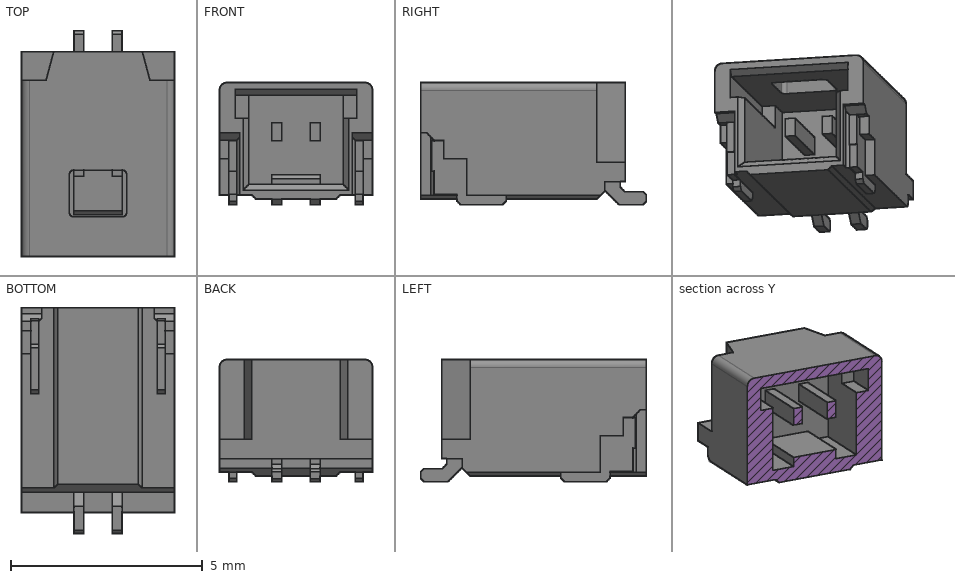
import cadquery as cq


total_length = 5.9
width = 4.0
height = 3.2
length = 5.35
top_radius = 0.2
underside_z = 0.255
plinth_z = 0.155
plinth_width = 2.1

rear_notch_length = 0.75
rear_notch_floor_z = 1.11
rear_notch_width_outer = 0.845
rear_notch_width_inner = 0.645
rear_step_length = 0.535
rear_step_z = 0.61
rear_chamfer_top_z = 0.36

cavity_width = 2.46
cavity_depth = 4.19
cavity_floor_z = 0.535
cavity_roof_z = 2.86
guide_width = 3.175
guide_depth = 3.42
guide_floor_z = 2.265
lead_in = 0.155
key_width = 1.27
key_front_y = 1.09
key_top_z = 0.79
key_chamfer = 0.105

window_width = 1.5
window_front_y = 1.04
window_length = 1.22
window_radius = 0.12

clip_inner_x = 1.545
clip_thickness = 0.205
clip_tip_y = 0.295
clip_relief_y = 0.35
clip_relief_z = 0.88
clip_bottom_z = 0.28
clip_gap = 0.02
foot_front_y = 0.95
foot_rear_y = 2.24
foot_chamfer = 0.1

corner_inner_x = 1.465
corner_top_z = 1.89
corner_depth = 0.355
corner_roof_chamfer = 0.2
corner_side_chamfer = clip_inner_x - corner_inner_x
pocket_top_z = corner_top_z - corner_roof_chamfer
pocket_step_z = 1.21
pocket_upper_y = 0.61
pocket_lower_y = 1.21

pin_pitch = 1.0
pin_width = 0.265
pin_bottom_z = 1.675
pin_top_z = 2.15
pin_tip_y = 2.1
tail_thickness = 0.35
tail_chamfer = 0.09
tail_setback = 0.135
tail_bend = 0.12
tail_slope = 0.37


def box(x0, x1, y0, y1, z0, z1):
    return cq.Workplane("XY").box(x1 - x0, y1 - y0, z1 - z0, centered=False).translate((x0, y0, z0))


def side_plate(points, x0, thickness):
    """Plate with a (Y, Z) outline, extruded toward +X from x0."""
    return cq.Workplane("YZ").polyline(points).close().extrude(thickness).translate((x0, 0, 0))


def both_sides(shape):
    """The shape together with its mirror image about X = 0."""
    return shape.union(shape.mirror("YZ"))


def housing_block():
    """Block with rounded top edges and a bevelled plinth underneath."""
    plinth_height = underside_z - plinth_z
    block = box(-width / 2, width / 2, 0, length, underside_z, height)
    block = block.edges("|Y and >Z").fillet(top_radius)
    half_bottom = plinth_width / 2
    half_top = half_bottom + plinth_height
    plinth = (
        cq.Workplane("XZ")
        .polyline([
            (-half_top, underside_z),
            (-half_bottom, plinth_z),
            (half_bottom, plinth_z),
            (half_top, underside_z),
        ])
        .close()
        .extrude(-length)
    )
    return block.union(plinth)


def rear_notches():
    """Tapered notches in the two upper rear corners."""
    side = width / 2
    notch = (
        cq.Workplane("XY", origin=(0, 0, rear_notch_floor_z))
        .polyline([
            (side, length - rear_notch_length),
            (side - rear_notch_width_inner, length - rear_notch_length),
            (side - rear_notch_width_outer, length),
            (side, length),
        ])
        .close()
        .extrude(height - rear_notch_floor_z)
    )
    return both_sides(notch)


def rear_undercut():
    """Step under the rear edge, with a 45 degree chamfer below it."""
    step_y = length - rear_step_length
    points = [
        (length, 0),
        (length, rear_step_z),
        (step_y, rear_step_z),
        (step_y, rear_chamfer_top_z),
        (step_y - rear_chamfer_top_z, 0),
    ]
    return side_plate(points, -width / 2, width)


def lead_in_taper(opening_width, opening_bottom_z, opening_top_z, inner_width, inner_bottom_z, inner_top_z):
    """Loft from a rectangle on the mating face to one that lies one lead-in depth inside."""
    def section(section_width, bottom_z, top_z, y):
        half = section_width / 2
        corners = [(-half, y, bottom_z), (half, y, bottom_z), (half, y, top_z), (-half, y, top_z)]
        return cq.Wire.makePolygon([cq.Vector(*corner) for corner in corners], close=True)

    opening = section(opening_width, opening_bottom_z, opening_top_z, 0)
    inner = section(inner_width, inner_bottom_z, inner_top_z, lead_in)
    return cq.Workplane(obj=cq.Solid.makeLoft([opening, inner], True))


def cavity():
    """Plug cavity with wide guide slots at the top and 45 degree lead-ins at its mouth."""
    half = cavity_width / 2
    half_guide = guide_width / 2
    main = box(-half, half, 0, cavity_depth, cavity_floor_z, cavity_roof_z)
    guide = box(-half_guide, half_guide, 0, guide_depth, guide_floor_z, cavity_roof_z)
    lower_lead = lead_in_taper(
        cavity_width + 2 * lead_in, cavity_floor_z - lead_in, guide_floor_z,
        cavity_width, cavity_floor_z, guide_floor_z,
    )
    roof_lead = lead_in_taper(
        guide_width, guide_floor_z, cavity_roof_z + lead_in,
        guide_width, guide_floor_z, cavity_roof_z,
    )
    return main.union(guide).union(lower_lead).union(roof_lead)


def latch_window():
    """Rounded rectangular opening from the roof into the cavity."""
    half = window_width / 2
    rear_y = window_front_y + window_length
    opening = box(-half, half, window_front_y, rear_y, guide_floor_z, height)
    return opening.edges("|Z").fillet(window_radius)


def corner_notches():
    """Front corner notches, narrowing at 45 degrees toward the clip slots."""
    roof_outline = [
        (0, 0),
        (0, corner_top_z),
        (corner_depth - corner_roof_chamfer, corner_top_z),
        (corner_depth, pocket_top_z),
        (corner_depth, 0),
    ]
    roof_cut = side_plate(roof_outline, corner_inner_x, width / 2 - corner_inner_x)
    wall_cut = (
        cq.Workplane("XY")
        .polyline([
            (width / 2, 0),
            (corner_inner_x, 0),
            (corner_inner_x, corner_depth - corner_side_chamfer),
            (clip_inner_x, corner_depth),
            (width / 2, corner_depth),
        ])
        .close()
        .extrude(corner_top_z)
    )
    return both_sides(roof_cut.intersect(wall_cut))


def clip_pockets():
    """Stepped pockets in the side walls that expose the clips."""
    outline = [
        (corner_depth, 0),
        (corner_depth, pocket_top_z),
        (pocket_upper_y, pocket_top_z),
        (pocket_upper_y, pocket_step_z),
        (pocket_lower_y, pocket_step_z),
        (pocket_lower_y, 0),
    ]
    return both_sides(side_plate(outline, clip_inner_x, width / 2 - clip_inner_x))


def solder_clips():
    """Flat clips filling the pockets, each with a foot resting on the board."""
    clip_top_z = pocket_top_z - clip_gap
    outline = [
        (clip_tip_y, clip_top_z),
        (clip_tip_y, clip_relief_z),
        (clip_relief_y, clip_relief_z),
        (clip_relief_y, clip_bottom_z),
        (foot_front_y, clip_bottom_z),
        (foot_front_y, foot_chamfer),
        (foot_front_y + foot_chamfer, 0),
        (foot_rear_y - foot_chamfer, 0),
        (foot_rear_y, foot_chamfer),
        (foot_rear_y, underside_z),
        (pocket_lower_y, underside_z),
        (pocket_lower_y, pocket_step_z),
        (pocket_upper_y, pocket_step_z),
        (pocket_upper_y, clip_top_z),
    ]
    return both_sides(side_plate(outline, clip_inner_x, clip_thickness))


def polarizing_key():
    """Raised key on the cavity floor, chamfered along its front edge."""
    outline = [
        (key_front_y, cavity_floor_z),
        (key_front_y, key_top_z - key_chamfer),
        (key_front_y + key_chamfer, key_top_z),
        (cavity_depth, key_top_z),
        (cavity_depth, cavity_floor_z),
    ]
    return side_plate(outline, -key_width / 2, key_width)


def signal_pins():
    """Contact bar in the cavity and bent solder tail behind, for each pin."""
    step_y = length - rear_step_length
    bend_y = length - tail_setback
    tail_outline = [
        (step_y, rear_step_z),
        (step_y, tail_slope),
        (step_y + tail_slope, 0),
        (total_length - tail_chamfer, 0),
        (total_length, tail_chamfer),
        (total_length, tail_thickness - tail_chamfer),
        (total_length - tail_chamfer, tail_thickness),
        (bend_y + tail_bend, tail_thickness),
        (bend_y, tail_thickness + tail_bend),
        (bend_y, rear_step_z),
    ]
    pin_x = (pin_pitch - pin_width) / 2
    bar = box(pin_x, pin_x + pin_width, pin_tip_y, cavity_depth, pin_bottom_z, pin_top_z)
    return both_sides(bar.union(side_plate(tail_outline, pin_x, pin_width)))


result = housing_block()
for void in (rear_notches(), rear_undercut(), cavity(), latch_window(), corner_notches(), clip_pockets()):
    result = result.cut(void)
for addition in (solder_clips(), polarizing_key(), signal_pins()):
    result = result.union(addition)